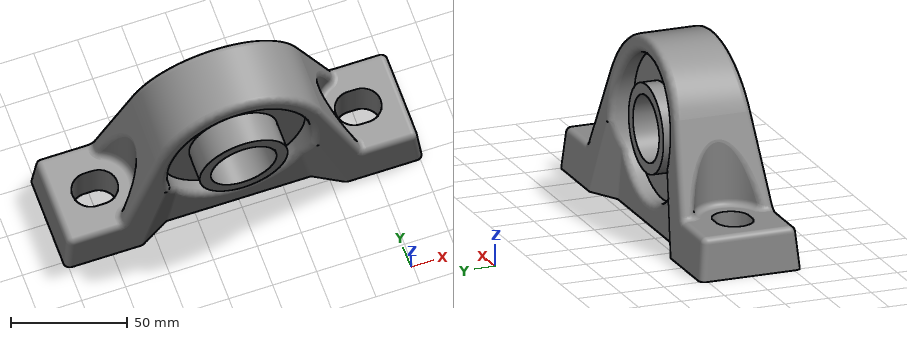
import cadquery as cq
import math

base_length = 163.0
base_width = 47.0
bore_height = 42.9
crown_radius = 41.0
foot_height = 19.0
draft_angle = 5.5
flank_angle = 22.9
blend_radius = 3.0
total_height = bore_height + crown_radius

seat_radius = 33.0
web_half_width = 8.5
ring_radius = 20.0
bore_radius = 15.0
ring_front = 22.5
ring_back = 16.0

slot_offset = 60.0
slot_length = 20.4
slot_width = 16.6
pocket_offset = 58.0
pocket_radius = 16.0

panel_half_width = 33.0
panel_opening = 46.5
panel_y = 15.8
panel_side_draft = 10.0
panel_top = bore_height

tolerance = 0.02


def housing_block():
    """Arched outline trimmed to a block whose four sides lean inwards."""
    flank = math.radians(flank_angle)
    tangent_x = crown_radius * math.cos(flank)
    tangent_z = bore_height + crown_radius * math.sin(flank)
    shoulder_x = tangent_x + (tangent_z - foot_height) * math.tan(flank)
    end_x = base_length / 2
    arch = (
        cq.Workplane("XZ")
        .moveTo(-end_x, 0)
        .lineTo(end_x, 0)
        .lineTo(end_x, foot_height)
        .lineTo(shoulder_x, foot_height)
        .lineTo(tangent_x, tangent_z)
        .threePointArc((0, total_height), (-tangent_x, tangent_z))
        .lineTo(-shoulder_x, foot_height)
        .lineTo(-end_x, foot_height)
        .close()
        .extrude(base_width / 2, both=True)
    )
    drafted_block = (
        cq.Workplane("XY")
        .rect(base_length, base_width)
        .extrude(total_height, taper=draft_angle)
    )
    return arch.intersect(drafted_block)


def foot_pockets():
    """Upright round clearances cut into both flanks above the feet."""
    return (
        cq.Workplane("XY", origin=(0, 0, foot_height))
        .pushPoints([(-pocket_offset, 0), (pocket_offset, 0)])
        .circle(pocket_radius)
        .extrude(total_height)
    )


def panel_relief(side):
    """Recess with flared, leaning flanks in the lower middle of the face on the given Y side."""
    flare = (panel_opening - panel_half_width) / (base_width / 2 - panel_y)
    outer_y = base_width
    outer_half = panel_half_width + flare * (outer_y - panel_y)
    lean = panel_top * math.tan(math.radians(panel_side_draft))

    def section(inset):
        return [
            (-panel_half_width + inset, side * panel_y),
            (panel_half_width - inset, side * panel_y),
            (outer_half - inset, side * outer_y),
            (-outer_half + inset, side * outer_y),
        ]

    return (
        cq.Workplane("XY")
        .polyline(section(0))
        .close()
        .workplane(offset=panel_top)
        .polyline(section(lean))
        .close()
        .loft(ruled=True)
    )


def panel_corners(body):
    """Leaning edges, inner and outer, on both flanks of the panel reliefs."""
    band_low = 0.45 * panel_top
    band_high = 0.55 * panel_top
    middle_band = cq.selectors.BoxSelector(
        (-panel_opening, -base_width, band_low),
        (panel_opening, base_width, band_high),
    )
    return body.edges(middle_band)


def seat_rims(body):
    """Edges around the two mouths of the bearing seat."""

    def is_rim(edge):
        samples = edge.positions([0, 0.3, 0.6, 1])
        return all(
            abs(math.hypot(p.x, p.z - bore_height) - seat_radius) < tolerance
            and abs(p.y) > web_half_width + tolerance
            for p in samples
        )

    return body.edges().filter(is_rim)


def y_cylinder(radius, y_start, y_end):
    """Cylinder on the bearing axis between two Y positions."""
    return (
        cq.Workplane("XZ", origin=(0, y_start, bore_height))
        .circle(radius)
        .extrude(y_start - y_end)
    )


def mounting_slots():
    """Obround bolt slots through both feet."""
    return (
        cq.Workplane("XY")
        .pushPoints([(-slot_offset, 0), (slot_offset, 0)])
        .slot2D(slot_length, slot_width)
        .extrude(foot_height)
    )


body = housing_block().cut(foot_pockets())
body = body.edges("not <Z").fillet(blend_radius)

for side in (-1, 1):
    body = body.cut(panel_relief(side))
body = panel_corners(body).fillet(blend_radius)
for side in (-1, 1):
    body = body.cut(y_cylinder(seat_radius, side * web_half_width, side * base_width))
body = seat_rims(body).fillet(blend_radius)

body = body.union(y_cylinder(ring_radius, -ring_front, ring_back))
body = body.cut(y_cylinder(bore_radius, -base_width, base_width))
result = body.cut(mounting_slots()).solids()